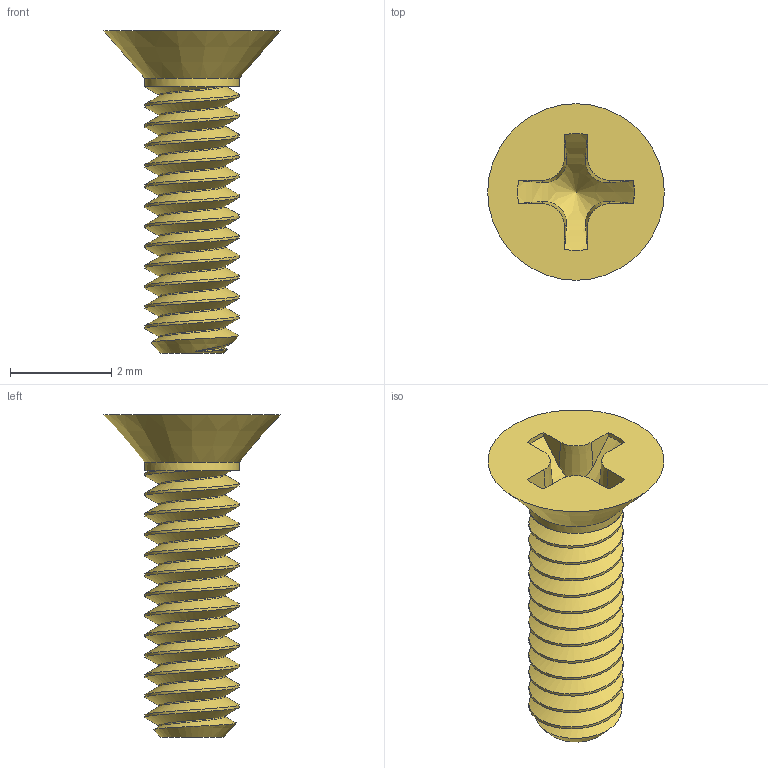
import cadquery as cq
import math

overall_length = 6.35
head_radius = 1.74
major_radius = 0.93
head_half_angle = 41.0
collar_bottom = -1.097
tip_radius = 0.622
tip_chamfer_height = 0.345

inch = 25.4
threads_per_inch = 64
pitch = inch / threads_per_inch
thread_depth = 0.275
root_radius = major_radius - thread_depth
crest_flat = pitch / 8
flank_half_angle = 30.0
first_crest_z = -1.274

ridge_sink = 0.015
end_allowance = 4 * pitch
trim_clearance = 0.2
core_seam_angle = 20.0
trim_seam_angle = 50.0

recess_radius = 1.152
recess_wing_width = 0.464
recess_corner_radius = 0.43
recess_wall_draft = 4.5
recess_end_wall_depth = 0.09
recess_depth = 1.25


def revolve_profile(points):
    """Revolve a closed (radius, height) profile about Z."""
    return cq.Workplane("XZ").polyline(points).close().revolve(360, (0, 0, 0), (0, 1, 0))


def make_head():
    """Countersunk cone with the short plain collar under it."""
    cone_height = (head_radius - major_radius) / math.tan(math.radians(head_half_angle))
    return revolve_profile([
        (0, 0),
        (head_radius, 0),
        (major_radius, -cone_height),
        (major_radius, collar_bottom),
        (0, collar_bottom),
    ])


def make_thread_ridge():
    """Right-handed helical ridge running past both ends of the thread, its base sunk into the core."""
    turns_below = math.ceil((overall_length + first_crest_z) / pitch) + 1
    start_z = first_crest_z - turns_below * pitch
    helix_height = (turns_below + 1) * pitch

    base_radius = root_radius - ridge_sink
    crest_half = crest_flat / 2
    base_half = crest_half + (major_radius - base_radius) * math.tan(math.radians(flank_half_angle))

    path = cq.Wire.makeHelix(pitch, helix_height, major_radius, center=cq.Vector(0, 0, start_z))
    profile = cq.Workplane("XZ").polyline([
        (base_radius, start_z - base_half),
        (major_radius, start_z - crest_half),
        (major_radius, start_z + crest_half),
        (base_radius, start_z + base_half),
    ]).close()
    return profile.sweep(path, isFrenet=True)


def make_shank():
    """Threaded shank, trimmed flat under the collar and chamfered at the tip."""
    core = (
        cq.Workplane("XY", origin=(0, 0, end_allowance))
        .circle(root_radius)
        .extrude(-(overall_length + 2 * end_allowance))
        .rotate((0, 0, 0), (0, 0, 1), core_seam_angle)
    )
    trim_radius = major_radius + trim_clearance
    chamfer_slope = tip_chamfer_height / (major_radius - tip_radius)
    chamfer_top = (trim_radius - tip_radius) * chamfer_slope - overall_length
    trim = revolve_profile([
        (0, collar_bottom),
        (trim_radius, collar_bottom),
        (trim_radius, chamfer_top),
        (tip_radius, -overall_length),
        (0, -overall_length),
    ]).rotate((0, 0, 0), (0, 0, 1), trim_seam_angle)
    return core.union(make_thread_ridge()).intersect(trim)


def make_recess():
    """Cross with drafted walls and rounded inner corners, ending in a conical floor."""
    wing_length = 2 * (recess_radius + recess_wing_width)
    inner_corners = cq.selectors.BoxSelector(
        (-recess_wing_width, -recess_wing_width, -1),
        (recess_wing_width, recess_wing_width, 1),
    )
    cross = (
        cq.Sketch()
        .rect(wing_length, recess_wing_width)
        .rect(recess_wing_width, wing_length)
        .clean()
        .vertices(inner_corners)
        .fillet(recess_corner_radius)
    )
    prism = cq.Workplane("XY").placeSketch(cross).extrude(-recess_depth, taper=recess_wall_draft)
    envelope = revolve_profile([
        (0, 0),
        (recess_radius, 0),
        (recess_radius, -recess_end_wall_depth),
        (0, -recess_depth),
    ])
    return envelope.intersect(prism)


result = make_head().union(make_shank()).cut(make_recess())